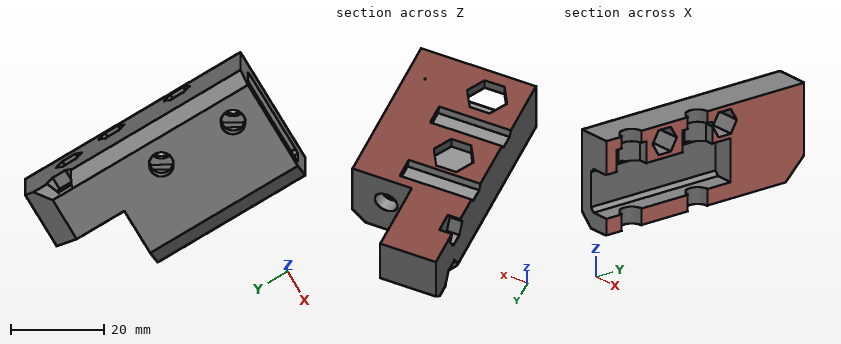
import cadquery as cq

WIDTH = 27.0
LENGTH = 54.0
HEIGHT = 22.0

TAIL_WIDTH = 13.1
BODY_LENGTH = 37.05

SIDE_BEVEL_WIDTH = 3.15
SIDE_BEVEL_HEIGHT = 2.95
TAIL_BEVEL = 5.0

SOCKET_WALL = 3.15
SOCKET_FLOOR_Z = 3.95
SOCKET_HEIGHT = 10.1
SOCKET_WIDTH = WIDTH - 2 * SOCKET_WALL
SOCKET_DEPTH = BODY_LENGTH - SOCKET_WALL
SOCKET_CENTER_Z = SOCKET_FLOOR_Z + SOCKET_HEIGHT / 2
SOCKET_CORNER = 0.95

HOLE_DIAMETER = 5.3
REAR_HOLE_X = 19.05
CLAMP_HOLE_X = 8.5
CLAMP_HOLE_YS = (6.95, 24.95)

CLAMP_LIP = 2.85
CLAMP_NUT_DIAMETER = 9.25

SIDE_NUT_DIAMETER = 6.5
TAIL_NUT_DEPTH = 2.9
BODY_NUT_DEPTH = WIDTH - TAIL_WIDTH + TAIL_NUT_DEPTH
TAIL_NUTS = ((43.05, 14.7), (45.5, 3.45))
BODY_NUTS = ((16.0, 18.0), (32.35, 18.0))


def make_body():
    """Block with bevelled lower sides, notched at the right rear and bevelled under the tail."""
    profile = [
        (0, HEIGHT),
        (0, SIDE_BEVEL_HEIGHT),
        (SIDE_BEVEL_WIDTH, 0),
        (WIDTH - SIDE_BEVEL_WIDTH, 0),
        (WIDTH, SIDE_BEVEL_HEIGHT),
        (WIDTH, HEIGHT),
    ]
    block = cq.Workplane("XZ").polyline(profile).close().extrude(-LENGTH)
    notch = cq.Workplane("XY").box(
        WIDTH - TAIL_WIDTH, LENGTH - BODY_LENGTH, HEIGHT, centered=False
    ).translate((TAIL_WIDTH, BODY_LENGTH, 0))
    tail_bevel = (
        cq.Workplane("YZ")
        .polyline([(LENGTH, 0), (LENGTH, TAIL_BEVEL), (LENGTH - TAIL_BEVEL, 0)])
        .close()
        .extrude(WIDTH)
    )
    return block.cut(notch).cut(tail_bevel)


def make_socket():
    """Rectangular cavity with bevelled long edges, plus the round hole through its rear wall."""
    cavity = (
        cq.Workplane("XZ")
        .center(WIDTH / 2, SOCKET_CENTER_Z)
        .rect(SOCKET_WIDTH, SOCKET_HEIGHT)
        .extrude(-SOCKET_DEPTH)
        .edges("|Y")
        .chamfer(SOCKET_CORNER)
    )
    rear_hole = (
        cq.Workplane("XZ")
        .center(REAR_HOLE_X, SOCKET_CENTER_Z)
        .circle(HOLE_DIAMETER / 2)
        .extrude(-BODY_LENGTH)
    )
    return cavity.union(rear_hole)


def make_clamp_holes():
    """Vertical through holes, each with a hexagonal nut recess rising from the socket to the lip."""
    centers = [(CLAMP_HOLE_X, y) for y in CLAMP_HOLE_YS]
    holes = cq.Workplane("XY").pushPoints(centers).circle(HOLE_DIAMETER / 2).extrude(HEIGHT)
    recesses = (
        cq.Workplane("XY", origin=(0, 0, SOCKET_CENTER_Z))
        .pushPoints(centers)
        .polygon(6, CLAMP_NUT_DIAMETER)
        .extrude(HEIGHT - CLAMP_LIP - SOCKET_CENTER_Z)
    )
    return holes.union(recesses)


def make_nut_pockets(centers, depth):
    """Hexagonal pockets at (Y, Z) centers, sunk from the left face."""
    return cq.Workplane("YZ").pushPoints(centers).polygon(6, SIDE_NUT_DIAMETER).extrude(depth)


result = (
    make_body()
    .cut(make_socket())
    .cut(make_clamp_holes())
    .cut(make_nut_pockets(TAIL_NUTS, TAIL_NUT_DEPTH))
    .cut(make_nut_pockets(BODY_NUTS, BODY_NUT_DEPTH))
)